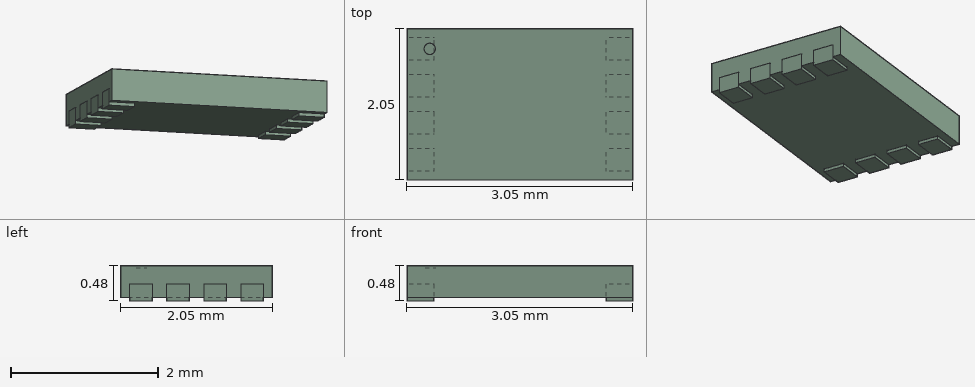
import cadquery as cq

package_length = 3.05
package_width = 2.05
package_height = 0.48
standoff = 0.045

pad_length = 0.36
pad_width = 0.305
pad_height = 0.23
pad_pitch = 0.5
pads_per_row = 4

marker_diameter = 0.152
marker_depth = 0.03
marker_from_end = 0.305
marker_from_side = 0.275


def make_pad(x, y):
    """Rectangular pad standing on Z = 0."""
    pad = cq.Workplane("XY").box(pad_length, pad_width, pad_height, centered=(True, True, False))
    return pad.translate((x, y, 0))


def make_pads():
    """Both rows of pads, with outer faces flush with the housing ends."""
    row_x = (package_length - pad_length) / 2
    first_y = -pad_pitch * (pads_per_row - 1) / 2
    pads = []
    for x in (-row_x, row_x):
        for index in range(pads_per_row):
            pads.append(make_pad(x, first_y + index * pad_pitch))
    return pads


def make_marker():
    """Thin disc inlaid in the corner of the top face."""
    x = -package_length / 2 + marker_from_end
    y = package_width / 2 - marker_from_side
    disc = cq.Workplane("XY").circle(marker_diameter / 2).extrude(marker_depth)
    return disc.translate((x, y, package_height - marker_depth))


def make_housing(inlaid_bodies):
    """Plain block with a matching recess for every inlaid body."""
    housing_height = package_height - standoff
    housing = cq.Workplane("XY").box(
        package_length, package_width, housing_height, centered=(True, True, False)
    )
    housing = housing.translate((0, 0, standoff))
    for body in inlaid_bodies:
        housing = housing.cut(body)
    return housing


pads = make_pads()
marker = make_marker()
housing = make_housing([*pads, marker])

result = cq.Compound.makeCompound([housing.val(), marker.val(), *[pad.val() for pad in pads]])